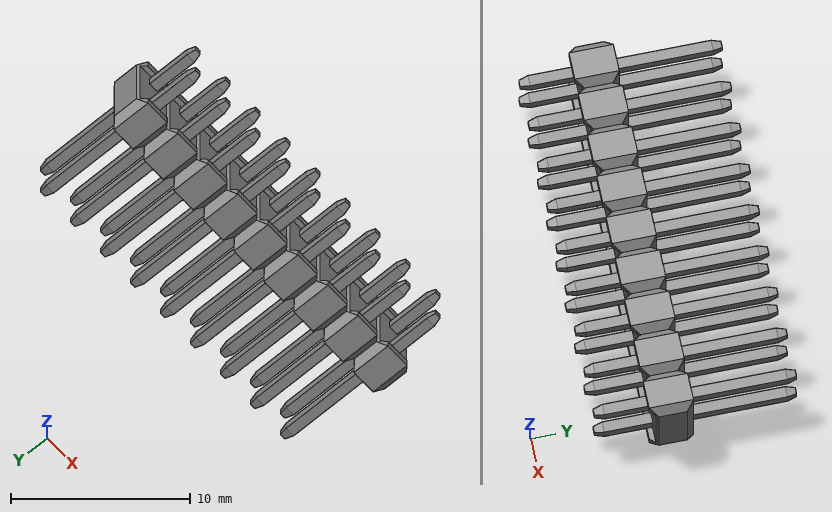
import cadquery as cq


TOTAL_LENGTH = 22.85
TOTAL_DEPTH = 11.55
HOUSING_HEIGHT = 5.03

COLUMNS = 9
ROWS = 2
PITCH = TOTAL_LENGTH / COLUMNS

HOUSING_DEPTH = 2.54
BEVEL = 0.45
RECESS_DEPTH = 0.32
LIP_HEIGHT = 0.55

PIN_WIDTH = 0.65
TIP_WIDTH = 0.4
TIP_LENGTH = 0.55
FRONT_PIN_REACH = 3.0

HOUSING_FRONT = -HOUSING_DEPTH / 2
PIN_FRONT = HOUSING_FRONT - FRONT_PIN_REACH


def centred_positions(count):
    """Positions at the header pitch, symmetric about zero."""
    return [(index - (count - 1) / 2) * PITCH for index in range(count)]


def make_block():
    """One housing block with bevelled X faces and a recess across its front."""
    block = cq.Workplane("XY").box(PITCH, HOUSING_DEPTH, HOUSING_HEIGHT)
    block = block.faces("<X or >X").edges().chamfer(BEVEL)
    recess = (
        cq.Workplane("XY")
        .box(PITCH, RECESS_DEPTH, HOUSING_HEIGHT - 2 * LIP_HEIGHT)
        .translate((0, HOUSING_FRONT + RECESS_DEPTH / 2, 0))
    )
    return block.cut(recess)


def make_tip():
    """Tapered pin end, from its wide base at Y = 0 to its narrow end at -Y."""
    return (
        cq.Workplane("XZ")
        .rect(PIN_WIDTH, PIN_WIDTH)
        .workplane(offset=TIP_LENGTH)
        .rect(TIP_WIDTH, TIP_WIDTH)
        .loft(ruled=True)
    )


def make_pin():
    """Square pin with a tapered tip at each end."""
    shank_length = TOTAL_DEPTH - 2 * TIP_LENGTH
    shank = cq.Workplane("XY").box(PIN_WIDTH, shank_length, PIN_WIDTH)
    front_tip = make_tip().translate((0, -shank_length / 2, 0))
    rear_tip = front_tip.mirror("XZ")
    pin = shank.union(front_tip).union(rear_tip)
    return pin.translate((0, PIN_FRONT + TOTAL_DEPTH / 2, 0))


def make_column():
    """One housing block together with its stacked pins."""
    column = make_block()
    pin = make_pin()
    for z in centred_positions(ROWS):
        column = column.union(pin.translate((0, 0, z)))
    return column


column = make_column()
column_positions = centred_positions(COLUMNS)
result = column.translate((column_positions[0], 0, 0))
for x in column_positions[1:]:
    result = result.union(column.translate((x, 0, 0)))